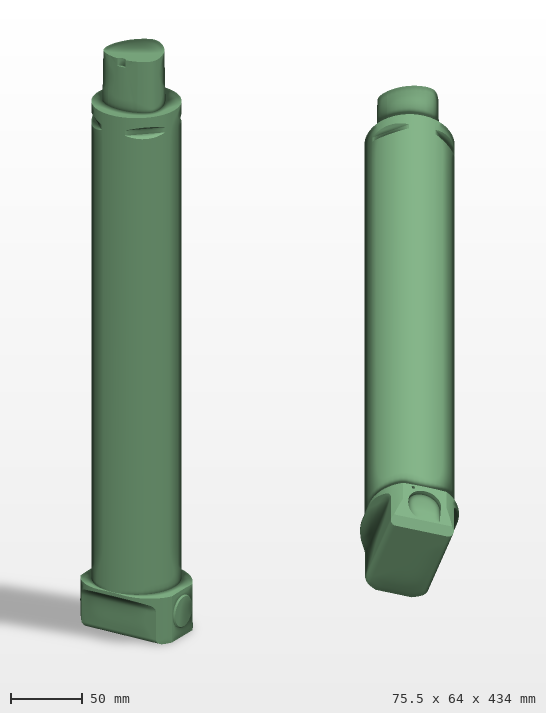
import cadquery as cq
import math

total_height = 434.0
coupling_height = 38.0
shoulder_z = total_height - coupling_height
head_top_z = 36.0

bar_diameter = 63.0
bar_radius = bar_diameter / 2

head_depth = 64.0
head_radius = head_depth / 2
head_lobe_offset = 8.5
head_end_left = -36.5
head_end_right = 37.8
head_top_slope = 8.0

blade_half_depth = 23.0
relief_straight_z = 24.7
relief_radius = 6.0
relief_slope = 30.0
blade_edge_radius = 4.0

bevel_top_z = 20.0
bevel_middle_z = 6.5
upper_bevel_angle = 16.0
lower_bevel_angle = 32.0

cartridge_diameter = 24.0
cartridge_radius = cartridge_diameter / 2
cartridge_z = 19.0
cartridge_left = -32.5
cartridge_right = 39.0
cartridge_chamfer = 1.0

nozzle_diameter = 2.5
nozzle_y = 8.2
nozzle_z = 32.5
nozzle_depth = 4.5

coupling_radius = 21.3
coupling_lobe_height = 1.82
coupling_taper = 1.0
lobe_count = 3
side_half_turn = 21.0
points_per_arc = 9

notch_diameter = 8.0
notch_height = 5.5
notch_depth = 2.0

groove_count = 4
groove_z = 384.0
groove_depth = 3.5
groove_floor_height = 4.0
groove_flank_angle = 35.0
groove_first_angle = 45.0

cutter_length = 173.5


def coupling_point(angle, radius):
    """Point of the constant-width three-lobed curve whose outward normal has this angle."""
    phase = math.radians(lobe_count * (angle - 90))
    reach = radius + coupling_lobe_height * math.cos(phase)
    drift = -lobe_count * coupling_lobe_height * math.sin(phase)
    turn = math.radians(angle)
    return (
        reach * math.cos(turn) - drift * math.sin(turn),
        reach * math.sin(turn) + drift * math.cos(turn),
    )


def coupling_wire(radius, z):
    """Closed three-lobed outline made of alternating side and lobe curves."""
    step = 360 / lobe_count
    edges = []
    for lobe in range(lobe_count):
        side_centre = -90 + lobe * step
        side_start = side_centre - side_half_turn
        side_end = side_centre + side_half_turn
        breaks = [side_start, side_end, side_start + step]
        for start, end in zip(breaks, breaks[1:]):
            points = []
            for i in range(points_per_arc):
                angle = start + (end - start) * i / (points_per_arc - 1)
                points.append(cq.Vector(*coupling_point(angle, radius), z))
            edges.append(cq.Edge.makeSpline(points))
    return cq.Wire.assembleEdges(edges)


def make_coupling():
    base_radius = coupling_radius + coupling_height * math.tan(math.radians(coupling_taper))
    wires = [coupling_wire(base_radius, shoulder_z), coupling_wire(coupling_radius, total_height)]
    coupling = cq.Workplane(cq.Solid.makeLoft(wires, True))
    notch_y = notch_depth - notch_diameter / 2 - (coupling_radius - coupling_lobe_height)
    notch = (
        cq.Workplane(origin=(0, notch_y, total_height - notch_height))
        .circle(notch_diameter / 2)
        .extrude(notch_height)
    )
    return coupling.cut(notch)


def make_groove_cutter(angle):
    """Straight groove across the bar with an upright floor and flanks that flare outward."""
    floor_half = groove_floor_height / 2
    mouth_half = floor_half + 2 * groove_depth * math.tan(math.radians(groove_flank_angle))
    section = [
        (-groove_depth, -floor_half),
        (-groove_depth, floor_half),
        (groove_depth, mouth_half),
        (groove_depth, -mouth_half),
    ]
    return (
        cq.Workplane("XZ")
        .polyline(section)
        .close()
        .extrude(bar_radius, both=True)
        .translate((bar_radius, 0, groove_z))
        .rotate((0, 0, 0), (0, 0, 1), angle)
    )


def make_bar():
    bar = cq.Workplane().circle(bar_radius).extrude(shoulder_z)
    for i in range(groove_count):
        bar = bar.cut(make_groove_cutter(groove_first_angle + i * 360 / groove_count))
    return bar


def make_head_outline():
    outline = cq.Workplane().slot2D(2 * (head_lobe_offset + head_radius), head_depth).extrude(head_top_z)
    ends = (
        cq.Workplane()
        .box(head_end_right - head_end_left, head_depth, head_top_z, centered=False)
        .translate((head_end_left, -head_radius, 0))
    )
    return outline.intersect(ends)


def make_top_cone():
    """Solid of revolution whose upper face falls away gently outside the bar."""
    reach = cutter_length / 2
    drop = (reach - bar_radius) * math.tan(math.radians(head_top_slope))
    return (
        cq.Workplane("XZ")
        .moveTo(0, -reach)
        .lineTo(0, head_top_z)
        .lineTo(bar_radius, head_top_z)
        .lineTo(reach, head_top_z - drop)
        .lineTo(reach, -reach)
        .close()
        .revolve(360, (0, 0, 0), (0, 1, 0))
    )


def make_side_section():
    """Head section across Y: a narrow blade below, flaring out to the full depth."""
    slope = math.radians(relief_slope)
    sweep = math.pi / 2 - slope
    flare_y = blade_half_depth + relief_radius * (1 - math.cos(sweep))
    flare_z = relief_straight_z + relief_radius * math.sin(sweep)
    middle_y = blade_half_depth + relief_radius * (1 - math.cos(sweep / 2))
    middle_z = relief_straight_z + relief_radius * math.sin(sweep / 2)
    rim_z = flare_z + (head_radius - flare_y) * math.tan(slope)
    half_section = (
        cq.Workplane("YZ")
        .lineTo(blade_half_depth - blade_edge_radius, 0)
        .radiusArc((blade_half_depth, blade_edge_radius), -blade_edge_radius)
        .lineTo(blade_half_depth, relief_straight_z)
        .threePointArc((middle_y, middle_z), (flare_y, flare_z))
        .lineTo(head_radius, rim_z)
        .lineTo(head_radius, head_top_z)
        .lineTo(0, head_top_z)
        .close()
        .extrude(cutter_length / 2, both=True)
    )
    return half_section.union(half_section.mirror("XZ"))


def make_bevel_cutter():
    upper_inset = (bevel_top_z - bevel_middle_z) * math.tan(math.radians(upper_bevel_angle))
    lower_inset = bevel_middle_z * math.tan(math.radians(lower_bevel_angle))
    middle_x = head_end_left + upper_inset
    return (
        cq.Workplane("XZ")
        .moveTo(head_end_left, bevel_top_z)
        .lineTo(middle_x, bevel_middle_z)
        .lineTo(middle_x + lower_inset, 0)
        .lineTo(head_end_left, 0)
        .close()
        .extrude(cutter_length / 2, both=True)
    )


def make_cylinder_along_x(diameter, start_x, end_x, y, z):
    return cq.Workplane("YZ", origin=(start_x, y, z)).circle(diameter / 2).extrude(end_x - start_x)


def make_seat_cutter():
    """Through bore for the cartridge, squared off at its lower front corner near the left end."""
    bore = make_cylinder_along_x(cartridge_diameter, head_end_left, head_end_right, 0, cartridge_z)
    corner = (
        cq.Workplane()
        .box(cartridge_left - head_end_left, cartridge_radius, cartridge_radius, centered=False)
        .translate((head_end_left, -cartridge_radius, cartridge_z - cartridge_radius))
    )
    return bore.union(corner)


def make_head():
    head = make_head_outline().intersect(make_top_cone()).intersect(make_side_section())
    return head.cut(make_bevel_cutter())


def make_holder():
    """Head, bar and coupling in one piece, bored for the cartridge."""
    lower_bar = cq.Workplane().circle(bar_radius).extrude(head_top_z)
    holder = make_bar().cut(lower_bar).union(make_head()).union(make_coupling())
    nozzle = make_cylinder_along_x(
        nozzle_diameter, head_end_left, head_end_left + nozzle_depth, nozzle_y, nozzle_z
    )
    return holder.cut(make_seat_cutter()).cut(nozzle)


def make_cartridge():
    cylinder = make_cylinder_along_x(cartridge_diameter, cartridge_left, cartridge_right, 0, cartridge_z)
    return cylinder.faces(">X").chamfer(cartridge_chamfer)


holder = make_holder()
cartridge = make_cartridge()

result = cq.Compound.makeCompound([holder.val(), cartridge.val()])